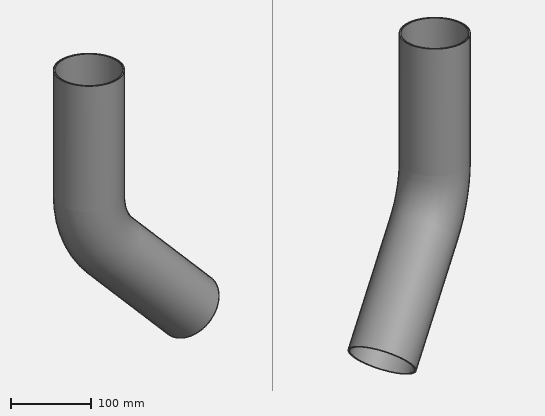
import cadquery as cq
import math

overall_height = 415.8
outer_diameter = 89.0
inner_diameter = 85.0
bend_radius = 114.5
bend_angle = math.radians(45)

outer_radius = outer_diameter / 2
sin_bend = math.sin(bend_angle)
cos_bend = math.cos(bend_angle)
end_rim_drop = outer_radius * sin_bend
leg_length = (overall_height - bend_radius * sin_bend - end_rim_drop) / (1 + cos_bend)


def bend_point(angle):
    """Centreline point (Y, Z) at an angle into the bend, which starts at the origin."""
    return (bend_radius * (1 - math.cos(angle)), -bend_radius * math.sin(angle))


bend_end_y, bend_end_z = bend_point(bend_angle)
lower_end = (bend_end_y + leg_length * sin_bend, bend_end_z - leg_length * cos_bend)
centreline = (
    cq.Workplane("YZ")
    .moveTo(0, leg_length)
    .lineTo(0, 0)
    .threePointArc(bend_point(bend_angle / 2), (bend_end_y, bend_end_z))
    .lineTo(*lower_end)
)

result = (
    cq.Workplane("XY")
    .workplane(offset=leg_length)
    .circle(outer_radius)
    .circle(inner_diameter / 2)
    .sweep(centreline)
)